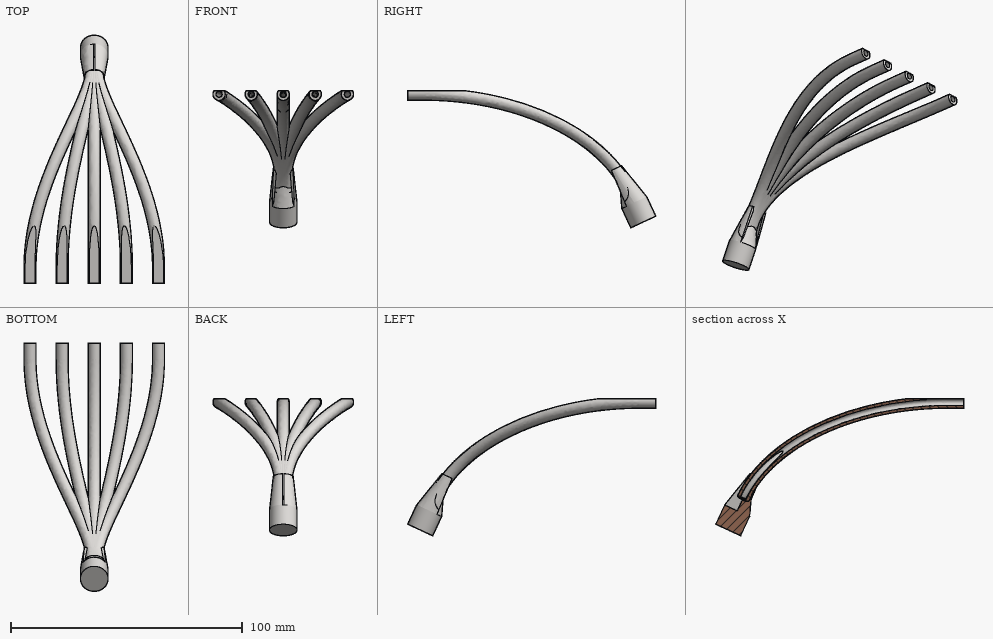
import cadquery as cq
import math


TILT = 25.0
SOCKET_RADIUS = 6.0
SOCKET_LENGTH = 9.2
NECK_END = 26.0

SHELL_END = (4.4, 3.75, 1.95)
INNER_RADIUS = 5.6
INNER_END = (3.8, 1.7, 1.95)
FLOOR_END = (3.0, 0.3, -0.4)
CHEEK_EDGE_START = 3.7
CHEEK_EDGE_END = 3.06
SLIT_WIDTH = 0.5

TINE_COUNT = 5
TINE_RADIUS = 2.65
BORE_RADIUS = 1.3
TINE_PITCH = 13.85
ROOT_PITCH = 1.0
ROOT_CONVERGENCE = -2.15
ROOT_POSITION = 15.0
ROOT_HANDLE = 26.5
TIP_HANDLE = 41.5
STRAIGHT_TIP = 7.0
TIP_REACH = 101.65
TIP_HEIGHT = 55.1
FLAT_HEIGHT = 1.57

SIN_TILT = math.sin(math.radians(TILT))
COS_TILT = math.cos(math.radians(TILT))

SOCKET_PLANE = cq.Plane(
    origin=(0, 0, 0),
    xDir=(1, 0, 0),
    normal=(0, -SIN_TILT, COS_TILT),
)


def neck_loft(start_radius, end_profile):
    """Straight-sided loft from a circle at the socket to an ellipse at the neck end."""
    half_width, half_depth, offset = end_profile
    return (
        cq.Workplane("XY")
        .workplane(offset=SOCKET_LENGTH)
        .ellipse(start_radius, start_radius)
        .workplane(offset=NECK_END - SOCKET_LENGTH)
        .center(0, -offset)
        .ellipse(half_width, half_depth)
        .loft(ruled=True)
    )


def make_neck():
    """Thin cheeks open along the underside, closed by a sloping floor between them."""
    outer = neck_loft(SOCKET_RADIUS, SHELL_END)
    above_cheek_edges = (
        cq.Workplane("YZ")
        .moveTo(-CHEEK_EDGE_START, SOCKET_LENGTH)
        .lineTo(-CHEEK_EDGE_END, NECK_END)
        .lineTo(2 * SOCKET_RADIUS, NECK_END)
        .lineTo(2 * SOCKET_RADIUS, SOCKET_LENGTH)
        .close()
        .extrude(2 * SOCKET_RADIUS, both=True)
    )
    cheeks = outer.intersect(above_cheek_edges).cut(neck_loft(INNER_RADIUS, INNER_END))
    floor = neck_loft(SOCKET_RADIUS, FLOOR_END).intersect(outer)
    return cheeks.union(floor)


def make_socket():
    """Barrel and slit neck, tilted into place."""
    barrel = cq.Workplane("XY").circle(SOCKET_RADIUS).extrude(SOCKET_LENGTH)
    slit = (
        cq.Workplane("XY")
        .workplane(offset=SOCKET_LENGTH)
        .center(0, SOCKET_RADIUS)
        .rect(SLIT_WIDTH, 2 * SOCKET_RADIUS)
        .extrude(NECK_END - SOCKET_LENGTH)
    )
    body = barrel.union(make_neck()).cut(slit)
    return body.val().moved(cq.Location(SOCKET_PLANE))


def axis_point(x, distance):
    """Point at the given distance along the socket axis, shifted sideways by x."""
    return cq.Vector(x, -distance * SIN_TILT, distance * COS_TILT)


def tine_path(index):
    """Bezier sweep from the socket, then a straight horizontal tip."""
    bend_end = cq.Vector(index * TINE_PITCH, STRAIGHT_TIP - TIP_REACH, TIP_HEIGHT)
    curve = cq.Edge.makeBezier([
        axis_point(index * ROOT_PITCH, ROOT_POSITION),
        axis_point(index * ROOT_CONVERGENCE, ROOT_POSITION + ROOT_HANDLE),
        bend_end + cq.Vector(0, TIP_HANDLE, 0),
        bend_end,
    ])
    tip = cq.Edge.makeLine(bend_end, bend_end - cq.Vector(0, STRAIGHT_TIP, 0))
    return cq.Wire.assembleEdges([curve, tip])


def sweep_round(index, radius):
    """Circle swept along one tine."""
    path = tine_path(index)
    start = cq.Plane(origin=path.startPoint(), normal=path.tangentAt(0))
    return cq.Workplane(start).circle(radius).sweep(cq.Workplane(path)).val()


def sweep_all(radius):
    """One round sweep along each tine, from -X to +X."""
    half_count = TINE_COUNT // 2
    return [sweep_round(index, radius) for index in range(-half_count, half_count + 1)]


def make_tines(rods):
    """Rods joined at the roots, flattened on top of the tips and bored through."""
    above_flat = (
        cq.Workplane("XY")
        .workplane(offset=TIP_HEIGHT + FLAT_HEIGHT)
        .rect(4 * TIP_REACH, 4 * TIP_REACH)
        .extrude(2 * TINE_RADIUS)
    )
    first, *others = rods
    return first.fuse(*others).cut(above_flat.val(), *sweep_all(BORE_RADIUS))


rods = sweep_all(TINE_RADIUS)
tines = make_tines(rods)
socket = make_socket().cut(*rods)
result = cq.Compound.makeCompound([*socket.Solids(), *tines.Solids()])